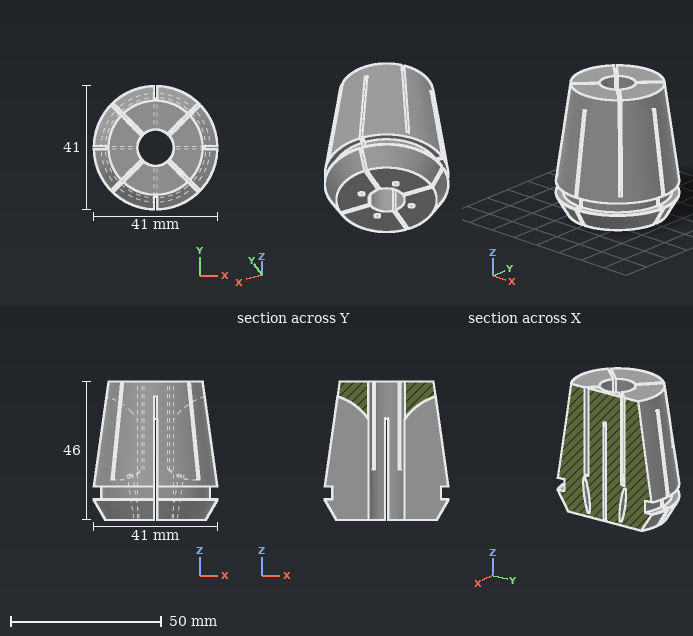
import cadquery as cq
import math

height = 46.0
max_radius = 20.5
bore_radius = 6.0

body_taper_angle = 8.0
body_base_z = 11.1
top_radius = max_radius - (height - body_base_z) * math.tan(math.radians(body_taper_angle))

groove_radius = 18.05
groove_bottom_z = 7.0
rim_bottom_z = 6.7
head_taper_angle = 30.0
bottom_radius = max_radius - rim_bottom_z * math.tan(math.radians(head_taper_angle))

slot_width = 0.95
slot_count = 4
slot_pitch = 360.0 / slot_count
saw_radius = 20.0
slot_overrun = 5.0
slot_reach = max_radius + slot_overrun

bottom_slot_apex_radius = 22.3
bottom_slot_apex_z = 41.9
top_slot_apex_radius = 17.5
top_slot_apex_z = 13.3

coolant_hole_diameter = 1.8
coolant_hole_start_radius = 11.8
coolant_hole_start_z = 14.1
coolant_hole_lean = 12.0
coolant_hole_overrun = 1.0


def make_body():
    """Revolved collet with its through bore."""
    profile = (
        cq.Workplane("XZ")
        .moveTo(bore_radius, 0)
        .lineTo(bottom_radius, 0)
        .lineTo(max_radius, rim_bottom_z)
        .lineTo(max_radius, groove_bottom_z)
        .lineTo(groove_radius, groove_bottom_z)
        .lineTo(groove_radius, body_base_z)
        .lineTo(max_radius, body_base_z)
        .lineTo(top_radius, height)
        .lineTo(bore_radius, height)
        .close()
    )
    return profile.revolve(360, (0, 0, 0), (0, 1, 0))


def slot_cutter(apex_radius, apex_z, open_z, angle):
    """Radial slot from the open end to a saw-cut arc, turned about Z by angle."""
    arc_side = 1 if open_z < apex_z else -1

    def arc_z(radius):
        rise = math.sqrt(saw_radius**2 - (radius - apex_radius) ** 2)
        return apex_z - arc_side * (saw_radius - rise)

    start_radius = bore_radius - slot_width / 2
    middle_radius = (start_radius + slot_reach) / 2
    outline = (
        cq.Workplane("XZ")
        .moveTo(start_radius, open_z)
        .lineTo(start_radius, arc_z(start_radius))
        .threePointArc((middle_radius, arc_z(middle_radius)), (slot_reach, arc_z(slot_reach)))
        .lineTo(slot_reach, open_z)
        .close()
    )
    cutter = outline.extrude(slot_width / 2, both=True)
    return cutter.rotate((0, 0, 0), (0, 0, 1), angle)


def cut_slots(body):
    """Cut the bottom slots along the X and Y axes and the top slots midway between them."""
    for index in range(slot_count):
        bottom_angle = index * slot_pitch
        top_angle = bottom_angle + slot_pitch / 2
        body = body.cut(
            slot_cutter(bottom_slot_apex_radius, bottom_slot_apex_z, -slot_overrun, bottom_angle)
        )
        body = body.cut(
            slot_cutter(top_slot_apex_radius, top_slot_apex_z, height + slot_overrun, top_angle)
        )
    return body


def cut_coolant_holes(body):
    """Drill one inclined hole through the head below each top slot."""
    lean = math.radians(coolant_hole_lean)
    length = coolant_hole_start_z / math.cos(lean) + 2 * coolant_hole_overrun
    down = cq.Vector(-math.sin(lean), 0, -math.cos(lean))
    start = cq.Vector(coolant_hole_start_radius, 0, coolant_hole_start_z) - down * coolant_hole_overrun
    drill = cq.Solid.makeCylinder(coolant_hole_diameter / 2, length, start, down)
    for index in range(slot_count):
        angle = (index + 0.5) * slot_pitch
        body = body.cut(cq.Workplane(drill.rotate(cq.Vector(0, 0, 0), cq.Vector(0, 0, 1), angle)))
    return body


result = cut_coolant_holes(cut_slots(make_body()))